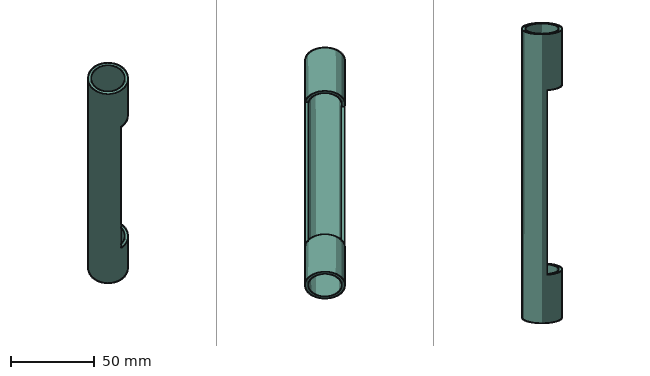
import cadquery as cq

length = 180.0
outer_diameter = 24.0
inner_diameter = 20.0
bottom_collar_height = 30.0
top_collar_height = 35.0

window_height = length - bottom_collar_height - top_collar_height


def make_tube():
    """Round tube standing on the XY plane, centred on the Z axis."""
    return (
        cq.Workplane("XY")
        .circle(outer_diameter / 2)
        .circle(inner_diameter / 2)
        .extrude(length)
    )


def make_window():
    """Block that removes the +Y half of the tube between the two collars."""
    return (
        cq.Workplane("XY")
        .workplane(offset=bottom_collar_height)
        .box(2 * outer_diameter, outer_diameter, window_height, centered=(True, False, False))
    )


result = make_tube().cut(make_window())